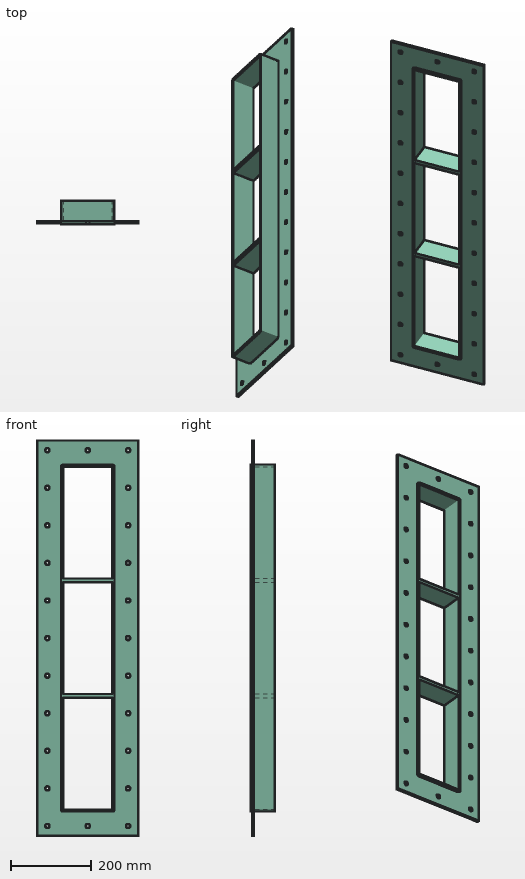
import cadquery as cq

plate_width = 252.0
plate_height = 986.0
plate_thickness = 6.0

sleeve_width = 133.0
sleeve_height = 866.0
sleeve_depth = 60.0
sleeve_wall = 6.0
sleeve_corner_radius = 7.0
front_lip = 3.0

opening_count = 3
crossbar_thickness = 10.0

hole_diameter = 10.0
hole_column_offset = 101.0
hole_row_pitch = 94.0
hole_row_count = 11

inner_width = sleeve_width - 2 * sleeve_wall
inner_height = sleeve_height - 2 * sleeve_wall
inner_corner_radius = sleeve_corner_radius - sleeve_wall


def block(width, depth, height, front_y):
    """Box centred on X and Z, extending toward +Y from front_y."""
    return cq.Workplane("XY").box(width, depth, height, centered=(True, False, True)).translate((0, front_y, 0))


def bolt_hole_positions():
    """Two full side columns plus a middle hole in the top and bottom rows."""
    last_row_z = hole_row_pitch * (hole_row_count - 1) / 2
    positions = [(0, last_row_z), (0, -last_row_z)]
    for row in range(hole_row_count):
        z = row * hole_row_pitch - last_row_z
        positions.append((-hole_column_offset, z))
        positions.append((hole_column_offset, z))
    return positions


def make_plate():
    plate = block(plate_width, plate_thickness, plate_height, front_lip)
    holes = (
        cq.Workplane("XZ")
        .pushPoints(bolt_hole_positions())
        .circle(hole_diameter / 2)
        .extrude(-sleeve_depth)
    )
    return plate.cut(holes)


def make_crossbars():
    opening_height = (inner_height - (opening_count - 1) * crossbar_thickness) / opening_count
    pitch = opening_height + crossbar_thickness
    bar = block(inner_width + sleeve_wall, sleeve_depth, crossbar_thickness, 0)
    bars = cq.Workplane("XY")
    for index in range(opening_count - 1):
        z = (index - (opening_count - 2) / 2) * pitch
        bars = bars.add(bar.translate((0, 0, z)))
    return bars.combine()


sleeve_body = block(sleeve_width, sleeve_depth, sleeve_height, 0).edges("|Y").fillet(sleeve_corner_radius)
sleeve_bore = block(inner_width, sleeve_depth, inner_height, 0).edges("|Y").fillet(inner_corner_radius)

result = make_plate().union(sleeve_body).cut(sleeve_bore).union(make_crossbars())